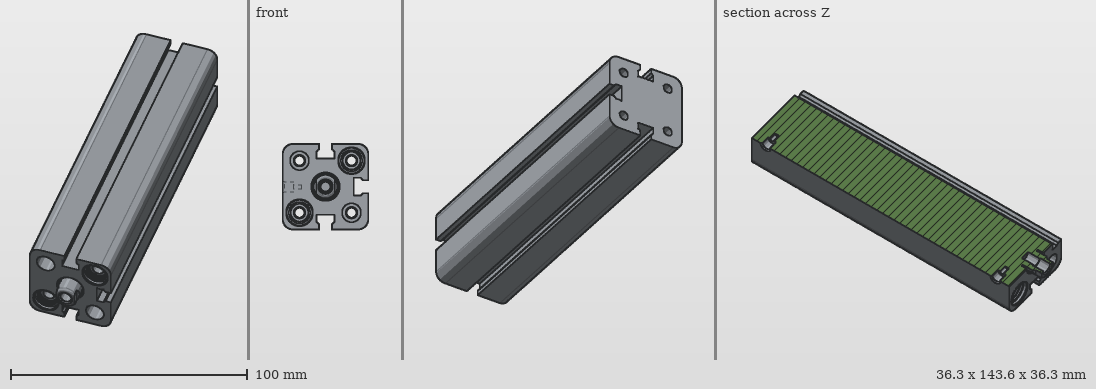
import cadquery as cq


body_width = 36.3
body_length = 137.1
corner_radius = 4.5
half_width = body_width / 2

slot_mouth_width = 5.4
slot_inner_width = 7.4
slot_depth = 6.2
slot_lip_depth = 2.3
slot_lip_slope = (slot_inner_width - slot_mouth_width) / 2
slot_angles = (0, 90, 180)

hole_offset = 11.0
screw_hole_diameter = 4.13
entry_diameter = 4.92
entry_depth = 20.0
socket_diameter = 8.0
socket_depth = 8.0
collar_diameters = (11.4, 10.8, 9.0, 7.5)
collar_depths = (0.5, 2.0, 3.0, 4.0)

rod_diameter = 10.0
rod_protrusion = 6.5
rod_tip_radius = 1.2
rod_hole_diameter = 4.92
rod_hole_mouth_diameter = 6.2
rod_hole_depth = 6.0
rod_hole_core_diameter = 4.13
rod_hole_core_depth = 12.0
flat_spacing = 8.0
flat_length = 3.2
flat_runout = 1.0
rod_bore_diameter = 11.1
rod_bore_mouth_diameter = 12.1
rod_bore_depth = 3.0

port_end_distance = 7.45
port_mouth_diameter = 5.4
port_diameter = 4.13
port_depth = 4.5
port_passage_diameter = 1.75
port_passage_depth = 8.0


def cylinder_y(diameter, start, length, x=0, z=0):
    """Cylinder running from Y = start toward +Y."""
    cylinder = cq.Solid.makeCylinder(diameter / 2, length, cq.Vector(x, start, z), cq.Vector(0, 1, 0))
    return cq.Workplane(cylinder)


def cone_y(start_diameter, end_diameter, start):
    """45 degree cone on the rod axis, running from Y = start toward +Y."""
    length = abs(start_diameter - end_diameter) / 2
    base = cq.Vector(0, start, 0)
    cone = cq.Solid.makeCone(start_diameter / 2, end_diameter / 2, length, base, cq.Vector(0, 1, 0))
    return cq.Workplane(cone)


def make_body():
    return (
        cq.Workplane("XY")
        .box(body_width, body_length, body_width, centered=(True, False, True))
        .edges("|Y")
        .fillet(corner_radius)
    )


def sensor_slot(angle):
    """Undercut slot along the whole body, turned about Y from the +Z side."""
    mouth = slot_mouth_width / 2
    inner = slot_inner_width / 2
    lip = half_width - slot_lip_depth
    shoulder = lip - slot_lip_slope
    floor = half_width - slot_depth
    right_side = [(mouth, half_width), (mouth, lip), (inner, shoulder), (inner, floor)]
    left_side = [(-x, z) for x, z in reversed(right_side)]
    slot = cq.Workplane("XZ").polyline(right_side + left_side).close().extrude(-body_length)
    return slot.rotate((0, 0, 0), (0, 1, 0), angle)


def screw_hole(x, z, has_collar):
    """Through hole with a slightly wider front part and either a plain socket or a stepped collar seat."""
    hole = cylinder_y(screw_hole_diameter, 0, body_length, x, z)
    hole = hole.union(cylinder_y(entry_diameter, 0, entry_depth, x, z))
    if not has_collar:
        return hole.union(cylinder_y(socket_diameter, 0, socket_depth, x, z))
    for diameter, depth in zip(collar_diameters, collar_depths):
        hole = hole.union(cylinder_y(diameter, 0, depth, x, z))
    return hole


def make_rod():
    """Rod end with two wrench flats facing -X and +X and a rounded tip."""
    tip = -rod_protrusion
    rod = cylinder_y(rod_diameter, tip, rod_protrusion + rod_bore_depth).faces("<Y").fillet(rod_tip_radius)

    flat = flat_spacing / 2
    flat_end = tip + flat_length
    runout_end = flat_end + flat_runout
    ramp_x = flat + flat_runout
    outside = rod_diameter
    flat_cut = (
        cq.Workplane("XY")
        .polyline([(flat, tip), (flat, flat_end), (ramp_x, runout_end), (outside, runout_end), (outside, tip)])
        .close()
        .extrude(rod_diameter / 2, both=True)
    )
    rod = rod.cut(flat_cut).cut(flat_cut.mirror("YZ"))

    return rod


def rod_hole():
    """Blind hole in the rod tip: countersunk mouth, wide front part and a narrower core."""
    tip = -rod_protrusion
    hole = cylinder_y(rod_hole_core_diameter, tip, rod_hole_core_depth)
    hole = hole.union(cylinder_y(rod_hole_diameter, tip, rod_hole_depth))
    return hole.union(cone_y(rod_hole_mouth_diameter, rod_hole_diameter, tip))


def air_port(y):
    """Port bored from the -X side, with a countersunk mouth and a narrow passage at its floor."""
    mouth_depth = (port_mouth_diameter - port_diameter) / 2
    start = cq.Vector(-half_width, y, 0)
    inward = cq.Vector(1, 0, 0)
    bore = cq.Solid.makeCylinder(port_diameter / 2, port_depth, start, inward)
    mouth = cq.Solid.makeCone(port_mouth_diameter / 2, port_diameter / 2, mouth_depth, start, inward)
    passage = cq.Solid.makeCylinder(port_passage_diameter / 2, port_passage_depth, start, inward)
    return cq.Workplane(bore).union(cq.Workplane(mouth)).union(cq.Workplane(passage))


result = make_body()

for slot_angle in slot_angles:
    result = result.cut(sensor_slot(slot_angle))

for x_side in (-1, 1):
    for z_side in (-1, 1):
        has_collar = x_side == z_side
        result = result.cut(screw_hole(x_side * hole_offset, z_side * hole_offset, has_collar))

for port_y in (port_end_distance, body_length - port_end_distance):
    result = result.cut(air_port(port_y))

result = result.cut(cylinder_y(rod_bore_diameter, 0, rod_bore_depth))
result = result.cut(cone_y(rod_bore_mouth_diameter, rod_bore_diameter, 0))
result = result.union(make_rod())
result = result.cut(rod_hole())